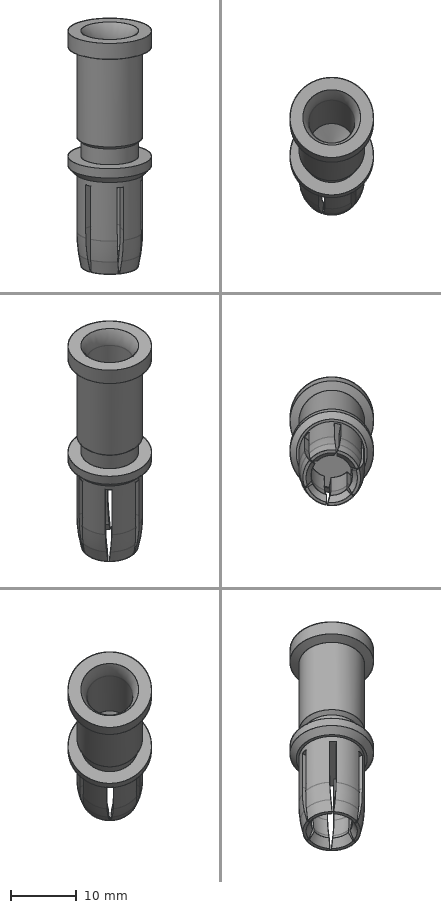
import cadquery as cq
import math

length = 37.5
collar_radius = 12.7 / 2

head_height = 2.5
head_cone_height = 0.5
shank_radius = 10.0 / 2
neck_radius = 8.78 / 2
neck_height = 2.5
neck_cone_height = 0.52

flange_top = 17.5
neck_top = flange_top + neck_height
flange_rim_height = 1.5
flange_bottom = 15.0
flange_foot_radius = 10.8 / 2

bend_top = 5.5
bend_bottom = 2.1
bend_angle = math.radians(8.0)
taper_angle = math.radians(10.5)

bore_radius = 6.98 / 2
mouth_radius = 8.78 / 2
mouth_depth = 2.5
wire_bore_depth = 15.0
drill_point_angle = 118.0

socket_bore_depth = 14.0
flare_radius = 7.8 / 2
flare_height = 1.5
slot_count = 6
slot_width = 1.0
slot_tip_width = 0.2
slot_top = socket_bore_depth
slot_straight_bottom = 7.1


def tangent_arc_radius(run, offset):
    """Radius of an arc that leaves a straight line tangentially and drifts by offset over run."""
    return (run**2 + offset**2) / (2 * offset)


def tangent_arc_offset(run, radius):
    """Sideways drift of a tangent arc after the given run."""
    return radius - math.sqrt(radius**2 - run**2)


def finger_bend():
    """Inward drift and height at the middle and at the end of the fingers' bend."""
    bend_radius = (bend_top - bend_bottom) / math.sin(bend_angle)
    points = []
    for angle in (bend_angle / 2, bend_angle):
        drift = bend_radius * (1 - math.cos(angle))
        points.append((drift, bend_top - bend_radius * math.sin(angle)))
    return points


def taper_drift(height):
    """Inward drift of the fingers at a height on their straight taper."""
    bend_end_drift = finger_bend()[1][0]
    return bend_end_drift + (bend_bottom - height) * math.tan(taper_angle)


def outer_body():
    """Revolved outside shape, with no openings."""
    (middle_drift, middle_height), (end_drift, end_height) = finger_bend()
    bend_middle = (shank_radius - middle_drift, middle_height)
    head_bottom = length - head_height
    profile = (
        cq.Workplane("XZ")
        .moveTo(0, 0)
        .lineTo(shank_radius - taper_drift(0), 0)
        .lineTo(shank_radius - end_drift, end_height)
        .threePointArc(bend_middle, (shank_radius, bend_top))
        .lineTo(shank_radius, flange_bottom)
        .lineTo(flange_foot_radius, flange_bottom)
        .lineTo(collar_radius, flange_top - flange_rim_height)
        .lineTo(collar_radius, flange_top)
        .lineTo(neck_radius, flange_top)
        .lineTo(neck_radius, neck_top)
        .lineTo(shank_radius, neck_top + neck_cone_height)
        .lineTo(shank_radius, head_bottom - head_cone_height)
        .lineTo(collar_radius, head_bottom)
        .lineTo(collar_radius, length)
        .lineTo(0, length)
        .close()
    )
    return profile.revolve(360, (0, 0), (0, 1))


def wire_bore():
    """Blind bore from the top, with a rounded mouth and a conical end."""
    mouth_curve_radius = tangent_arc_radius(mouth_depth, mouth_radius - bore_radius)
    half_run = mouth_depth / 2
    mouth_bottom = length - mouth_depth
    mouth_middle = (
        bore_radius + tangent_arc_offset(half_run, mouth_curve_radius),
        mouth_bottom + half_run,
    )
    bore_end = length - wire_bore_depth
    point_depth = bore_radius / math.tan(math.radians(drill_point_angle / 2))
    profile = (
        cq.Workplane("XZ")
        .moveTo(0, bore_end - point_depth)
        .lineTo(bore_radius, bore_end)
        .lineTo(bore_radius, mouth_bottom)
        .threePointArc(mouth_middle, (mouth_radius, length))
        .lineTo(0, length)
        .close()
    )
    return profile.revolve(360, (0, 0), (0, 1))


def socket_bore():
    """Blind bore from the slotted tip, narrowed by the bent fingers and flared at its mouth."""
    (middle_drift, middle_height), (end_drift, end_height) = finger_bend()
    bend_middle = (bore_radius - middle_drift, middle_height)
    profile = (
        cq.Workplane("XZ")
        .moveTo(0, 0)
        .lineTo(flare_radius, 0)
        .lineTo(bore_radius - taper_drift(flare_height), flare_height)
        .lineTo(bore_radius - end_drift, end_height)
        .threePointArc(bend_middle, (bore_radius, bend_top))
        .lineTo(bore_radius, socket_bore_depth)
        .lineTo(0, socket_bore_depth)
        .close()
    )
    return profile.revolve(360, (0, 0), (0, 1))


def slot():
    """Radial slot along +X that closes up towards the tip."""
    half_width = slot_width / 2
    half_tip = slot_tip_width / 2
    side_radius = tangent_arc_radius(slot_straight_bottom, half_width - half_tip)
    half_run = slot_straight_bottom / 2
    middle = half_width - tangent_arc_offset(half_run, side_radius)
    profile = (
        cq.Workplane("YZ")
        .moveTo(-half_width, slot_top)
        .lineTo(half_width, slot_top)
        .lineTo(half_width, slot_straight_bottom)
        .threePointArc((middle, half_run), (half_tip, 0))
        .lineTo(-half_tip, 0)
        .threePointArc((-middle, half_run), (-half_width, slot_straight_bottom))
        .close()
    )
    return profile.extrude(collar_radius)


result = outer_body().cut(wire_bore()).cut(socket_bore())
for index in range(slot_count):
    result = result.cut(slot().rotate((0, 0, 0), (0, 0, 1), index * 360 / slot_count))